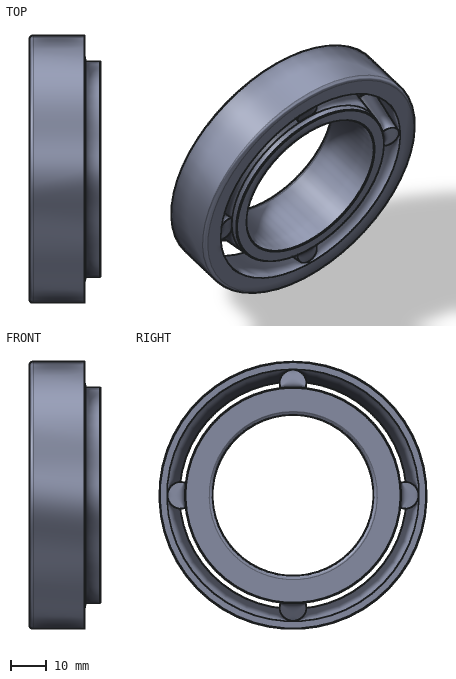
import cadquery as cq
import math


cup_radius = 37.5
cup_width = 15.6
cup_front_fillet = 1.05
cup_back_chamfer = 0.2

cone_width = 20.0
cone_bore_radius = 22.5
cone_front_radius = 26.2
cone_edge_chamfer = 0.2
cone_back_fillet = 1.05
raceway_slope = 0.13
flange_radius = 30.3
flange_start = 15.8

roller_count = 4
roller_tilt = 11.3
roller_small_radius = 3.4
roller_large_radius = 3.75
roller_start = 1.5
roller_start_radius = 28.65
sleeve_start = 1.9
sleeve_thickness = 0.7

tilt = math.radians(roller_tilt)


def raceway_radius(x):
    return cone_front_radius + raceway_slope * x


flange_lean = math.tan(tilt)
flange_foot = (
    flange_start + flange_lean * (flange_radius - cone_front_radius)
) / (1 + flange_lean * raceway_slope)

roller_length = (
    (flange_start - roller_start) * math.cos(tilt)
    + (flange_radius - roller_start_radius) * math.sin(tilt)
)
roller_half_angle = math.atan((roller_large_radius - roller_small_radius) / roller_length)

bore_slope = math.tan(tilt + roller_half_angle)
roller_top_x = roller_start - roller_small_radius * math.sin(tilt)
roller_top_radius = roller_start_radius + roller_small_radius * math.cos(tilt)
cup_front_bore = roller_top_radius - bore_slope * roller_top_x
cup_back_bore = cup_front_bore + bore_slope * cup_width


def revolve_profile(points):
    """Turn a closed outline of (X, radius) points about the X axis."""
    return cq.Workplane("XZ").polyline(points).close().revolve(360, (0, 0, 0), (1, 0, 0))


def sleeve_blank(depth):
    """Ring under the raceway, from the given depth below it up to its surface."""
    return revolve_profile([
        (sleeve_start, raceway_radius(sleeve_start) - depth),
        (sleeve_start, raceway_radius(sleeve_start)),
        (flange_foot, raceway_radius(flange_foot)),
        (flange_foot, raceway_radius(flange_foot) - depth),
    ])


def make_cup():
    blank = revolve_profile([
        (0, cup_front_bore),
        (0, cup_radius),
        (cup_width, cup_radius),
        (cup_width, cup_back_bore),
    ])
    blank = blank.faces("<X").edges(cq.selectors.RadiusNthSelector(-1)).fillet(cup_front_fillet)
    return blank.faces(">X").edges(cq.selectors.RadiusNthSelector(-1)).chamfer(cup_back_chamfer)


def make_cone():
    blank = revolve_profile([
        (0, cone_bore_radius + cone_edge_chamfer),
        (0, cone_front_radius - cone_edge_chamfer),
        (cone_edge_chamfer, raceway_radius(cone_edge_chamfer)),
        (flange_foot, raceway_radius(flange_foot)),
        (flange_start, flange_radius),
        (cone_width - cone_edge_chamfer, flange_radius),
        (cone_width, flange_radius - cone_edge_chamfer),
        (cone_width, cone_bore_radius),
        (cone_edge_chamfer, cone_bore_radius),
    ])
    blank = blank.faces(">X").edges(cq.selectors.RadiusNthSelector(0)).fillet(cone_back_fillet)
    return blank.cut(sleeve_blank(sleeve_thickness))


def make_roller():
    """Tapered roller at the +Z position."""
    return cq.Workplane(cq.Solid.makeCone(
        roller_small_radius,
        roller_large_radius,
        roller_length,
        pnt=cq.Vector(roller_start, 0, roller_start_radius),
        dir=cq.Vector(math.cos(tilt), 0, math.sin(tilt)),
    ))


def make_roller_set():
    """Rollers trimmed flush with the raceway and flange face, joined by the sleeve."""
    cone_envelope = revolve_profile([
        (0, 0),
        (0, cone_front_radius),
        (flange_foot, raceway_radius(flange_foot)),
        (flange_start, flange_radius),
        (cone_width, flange_radius),
        (cone_width, 0),
    ])
    trimmed_roller = make_roller().cut(cone_envelope)
    roller_set = sleeve_blank(sleeve_thickness)
    for index in range(roller_count):
        angle = index * 360 / roller_count
        roller_set = roller_set.union(trimmed_roller.rotate((0, 0, 0), (1, 0, 0), angle))
    return roller_set


cup = make_cup()
cone = make_cone()
roller_set = make_roller_set()

result = cq.Compound.makeCompound([cup.val(), cone.val(), *roller_set.vals()])